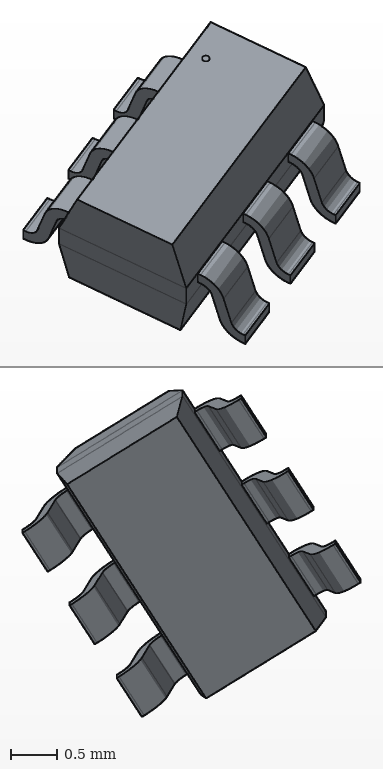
import cadquery as cq
import math

HOUSING_WIDTH = 1.6
HOUSING_LENGTH = 2.9
HOUSING_HEIGHT = 1.45
BELT_BOTTOM = 0.585
BELT_TOP = 0.865
TOP_WIDTH = 1.195
BOTTOM_WIDTH = 1.398
END_LENGTH = 2.807

LEAD_SPAN = 2.79
LEADS_PER_SIDE = 3
LEAD_PITCH = 0.95
LEAD_WIDTH = 0.51
LEAD_THICKNESS = 0.15
LEAD_TOP = 0.85
BEND_INNER_RADIUS = 0.15
BEND_OUTER_RADIUS = BEND_INNER_RADIUS + LEAD_THICKNESS
BEND_ANGLE = math.radians(75)

MARKER_DIAMETER = 0.08
MARKER_DEPTH = 0.03
MARKER_X = -0.39
MARKER_Y = LEAD_PITCH


def frustum(bottom_z, bottom_size, top_z, top_size):
    """Rectangular block whose sides slope evenly from one end face to the other."""
    return (
        cq.Workplane("XY", origin=(0, 0, bottom_z))
        .rect(*bottom_size)
        .workplane(offset=top_z - bottom_z)
        .rect(*top_size)
        .loft(ruled=True)
    )


def make_marker():
    return (
        cq.Workplane("XY", origin=(MARKER_X, MARKER_Y, HOUSING_HEIGHT - MARKER_DEPTH))
        .circle(MARKER_DIAMETER / 2)
        .extrude(MARKER_DEPTH)
    )


def make_housing():
    belt_size = (HOUSING_WIDTH, HOUSING_LENGTH)
    base = frustum(0, (BOTTOM_WIDTH, END_LENGTH), BELT_BOTTOM, belt_size)
    belt = frustum(BELT_BOTTOM, belt_size, BELT_TOP, belt_size)
    cap = frustum(BELT_TOP, belt_size, HOUSING_HEIGHT, (TOP_WIDTH, END_LENGTH))
    return base.union(belt).union(cap).cut(make_marker())


def point_on_bend(center, radius, angle):
    """Point on a bend, with the angle measured from straight up toward +X."""
    return (center[0] + radius * math.sin(angle), center[1] + radius * math.cos(angle))


def make_right_lead(y_center):
    """One lead on the +X side, from the housing wall down to the foot."""
    wall_x = HOUSING_WIDTH / 2
    tip_x = LEAD_SPAN / 2
    upper_z = LEAD_TOP - BEND_OUTER_RADIUS
    lower_z = BEND_OUTER_RADIUS

    bend_radii = BEND_INNER_RADIUS + BEND_OUTER_RADIUS
    leg_length = (bend_radii * math.cos(BEND_ANGLE) + upper_z - lower_z) / math.sin(BEND_ANGLE)
    center_distance_x = bend_radii * math.sin(BEND_ANGLE) + leg_length * math.cos(BEND_ANGLE)

    flat_length = (tip_x - wall_x - center_distance_x) / 2
    upper = (wall_x + flat_length, upper_z)
    lower = (tip_x - flat_length, lower_z)

    mid_angle = BEND_ANGLE / 2
    leg_angle = BEND_ANGLE + math.pi
    foot_mid_angle = mid_angle + math.pi
    foot_angle = math.pi

    profile = (
        cq.Workplane("XZ", origin=(0, y_center + LEAD_WIDTH / 2, 0))
        .moveTo(wall_x, LEAD_TOP)
        .lineTo(*point_on_bend(upper, BEND_OUTER_RADIUS, 0))
        .threePointArc(
            point_on_bend(upper, BEND_OUTER_RADIUS, mid_angle),
            point_on_bend(upper, BEND_OUTER_RADIUS, BEND_ANGLE),
        )
        .lineTo(*point_on_bend(lower, BEND_INNER_RADIUS, leg_angle))
        .threePointArc(
            point_on_bend(lower, BEND_INNER_RADIUS, foot_mid_angle),
            point_on_bend(lower, BEND_INNER_RADIUS, foot_angle),
        )
        .lineTo(tip_x, LEAD_THICKNESS)
        .lineTo(tip_x, 0)
        .lineTo(*point_on_bend(lower, BEND_OUTER_RADIUS, foot_angle))
        .threePointArc(
            point_on_bend(lower, BEND_OUTER_RADIUS, foot_mid_angle),
            point_on_bend(lower, BEND_OUTER_RADIUS, leg_angle),
        )
        .lineTo(*point_on_bend(upper, BEND_INNER_RADIUS, BEND_ANGLE))
        .threePointArc(
            point_on_bend(upper, BEND_INNER_RADIUS, mid_angle),
            point_on_bend(upper, BEND_INNER_RADIUS, 0),
        )
        .lineTo(wall_x, LEAD_TOP - LEAD_THICKNESS)
        .close()
    )
    return profile.extrude(LEAD_WIDTH)


def make_leads():
    """Both rows of leads, the -X row mirroring the +X row."""
    leads = []
    for index in range(LEADS_PER_SIDE):
        y_center = (index - (LEADS_PER_SIDE - 1) / 2) * LEAD_PITCH
        right_lead = make_right_lead(y_center)
        leads.append(right_lead.val())
        leads.append(right_lead.mirror("YZ").val())
    return leads


housing = make_housing()
marker = make_marker()
leads = make_leads()

result = cq.Compound.makeCompound([housing.solids().val(), marker.val(), *leads])